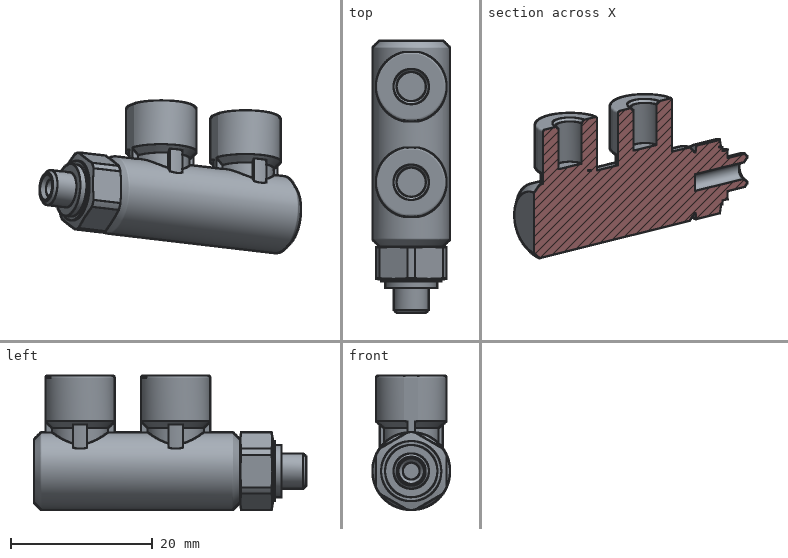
import cadquery as cq
import math


total_length = 38.5
body_radius = 5.5
body_front = 9.4
body_bevel = 1.0
body_end_radius = body_radius - body_bevel
body_edge_rounding = 0.25

hex_sides = 6
hex_flats = 10.0
hex_rear = 9.25
hex_front = 4.93

collar_rear = 4.7
collar_front = 4.45
collar_radius = 8.5 / 2
seat_radius = 7.4 / 2
seat_front = 3.5
nose_radius = 5.0 / 2
nose_bevel = 0.45
bore_radius = 2.4 / 2
bore_mouth_radius = 1.8

socket_places = (18.48, 32.0)
cap_radius = 5.0
cap_top = 13.5
cap_bottom = 7.1
cap_flat_width = 2.0
cap_flat_offset = math.sqrt(cap_radius ** 2 - (cap_flat_width / 2) ** 2)
cap_rounding = 0.4
neck_radius = 4.0
port_radius = 4.12 / 2
port_mouth_radius = 5.0 / 2

side_rib_radius = 4.5
side_rib_width = 2.0
end_rib_width = 1.0


def revolve_about_y(points):
    """Turn a closed (radius, y) outline about the main axis."""
    return cq.Workplane("XY").polyline(points).close().revolve(360, (0, 0), (0, 1))


def make_body():
    body = revolve_about_y([
        (0, body_front),
        (body_end_radius, body_front),
        (body_radius, body_front + body_bevel),
        (body_radius, total_length - body_bevel),
        (body_end_radius, total_length),
        (0, total_length),
    ])
    widest_circles = cq.selectors.RadiusNthSelector(-1)
    return body.edges("%CIRCLE").edges(widest_circles).fillet(body_edge_rounding)


def make_hexagon():
    """Hexagon with flats facing +X and -X, its corners turned down and its ends coned."""
    prism = (
        cq.Workplane("XZ", origin=(0, collar_rear, 0))
        .transformed(rotate=(0, 0, 90))
        .polygon(hex_sides, hex_flats / math.cos(math.pi / hex_sides))
        .extrude(collar_rear - body_front)
    )
    envelope = revolve_about_y([
        (0, collar_rear),
        (collar_radius, collar_rear),
        (body_radius, hex_front),
        (body_radius, hex_rear),
        (body_end_radius, body_front),
        (0, body_front),
    ])
    return prism.intersect(envelope)


def make_nose():
    return revolve_about_y([
        (0, 0),
        (nose_radius - nose_bevel, 0),
        (nose_radius, nose_bevel),
        (nose_radius, seat_front),
        (seat_radius, seat_front),
        (seat_radius, collar_front),
        (collar_radius, collar_front),
        (collar_radius, collar_rear),
        (0, collar_rear),
    ])


def make_nose_bore():
    """Blind bore with a 45 degree countersink, ending at the rear of the hexagon."""
    countersink = bore_mouth_radius - bore_radius
    return revolve_about_y([
        (0, 0),
        (bore_mouth_radius, 0),
        (bore_radius, countersink),
        (bore_radius, body_front),
        (0, body_front),
    ])


def make_socket():
    """One socket standing on the main axis at Y = 0."""
    cap = (
        cq.Workplane("XY", origin=(0, 0, cap_bottom))
        .circle(cap_radius)
        .extrude(cap_top - cap_bottom)
    )
    flats = cq.Workplane("XY").box(
        2 * cap_radius, 2 * cap_flat_offset, 2 * cap_top
    )
    cap = cap.intersect(flats).faces(">Z").edges().fillet(cap_rounding)

    cone_height = cap_radius - neck_radius
    neck = (
        cq.Workplane("XZ")
        .polyline([
            (0, 0),
            (neck_radius, 0),
            (neck_radius, cap_bottom - cone_height),
            (cap_radius, cap_bottom),
            (0, cap_bottom),
        ])
        .close()
        .revolve(360, (0, 0), (0, 1))
        .intersect(flats)
    )

    side_ribs = (
        cq.Workplane("XY")
        .circle(side_rib_radius)
        .extrude(cap_bottom)
        .intersect(cq.Workplane("XY").box(2 * cap_radius, side_rib_width, 2 * cap_top))
    )
    end_ribs = (
        cq.Workplane("XY")
        .rect(end_rib_width, 2 * cap_flat_offset)
        .extrude(cap_bottom)
    )
    return cap.union(neck).union(side_ribs).union(end_ribs)


def make_port():
    """Blind hole through the height of a cap, with a 45 degree countersink."""
    countersink = port_mouth_radius - port_radius
    return (
        cq.Workplane("XZ")
        .polyline([
            (0, cap_bottom),
            (port_radius, cap_bottom),
            (port_radius, cap_top - countersink),
            (port_mouth_radius, cap_top),
            (0, cap_top),
        ])
        .close()
        .revolve(360, (0, 0), (0, 1))
    )


result = make_body().union(make_hexagon()).union(make_nose())
for place in socket_places:
    result = result.union(make_socket().translate((0, place, 0)))
    result = result.cut(make_port().translate((0, place, 0)))
result = result.cut(make_nose_bore())